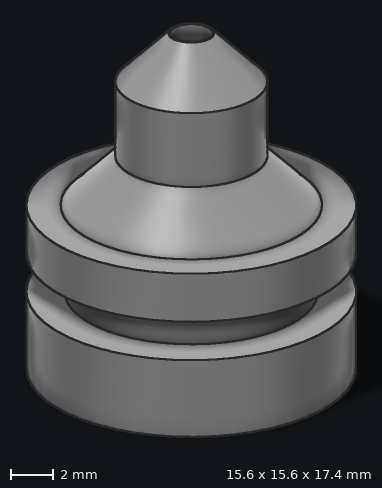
import cadquery as cq

flange_diameter = 15.6
groove_diameter = 12.0
shoulder_diameter = 12.36
neck_diameter = 7.2
tip_diameter = 2.16
bore_diameter = 2.0

base_height = 4.0
groove_height = 2.0
flange_height = 2.5
total_height = 17.44

shoulder_height = (shoulder_diameter - neck_diameter) / 2
tip_height = (neck_diameter - tip_diameter) / 2

groove_bottom = base_height
groove_top = groove_bottom + groove_height
flange_top = groove_top + flange_height
neck_bottom = flange_top + shoulder_height
neck_top = total_height - tip_height


def turned_body():
    """Solid of revolution: grooved base, lower cone, neck and conical tip."""
    flange_radius = flange_diameter / 2
    groove_radius = groove_diameter / 2
    neck_radius = neck_diameter / 2
    outline = [
        (0, 0),
        (flange_radius, 0),
        (flange_radius, groove_bottom),
        (groove_radius, groove_bottom),
        (groove_radius, groove_top),
        (flange_radius, groove_top),
        (flange_radius, flange_top),
        (shoulder_diameter / 2, flange_top),
        (neck_radius, neck_bottom),
        (neck_radius, neck_top),
        (tip_diameter / 2, total_height),
        (0, total_height),
    ]
    return cq.Workplane("XZ").polyline(outline).close().revolve(360, (0, 0), (0, 1))


def axial_bore():
    """Straight bore through the full height."""
    return cq.Workplane("XY").circle(bore_diameter / 2).extrude(total_height)


result = turned_body().cut(axial_bore())